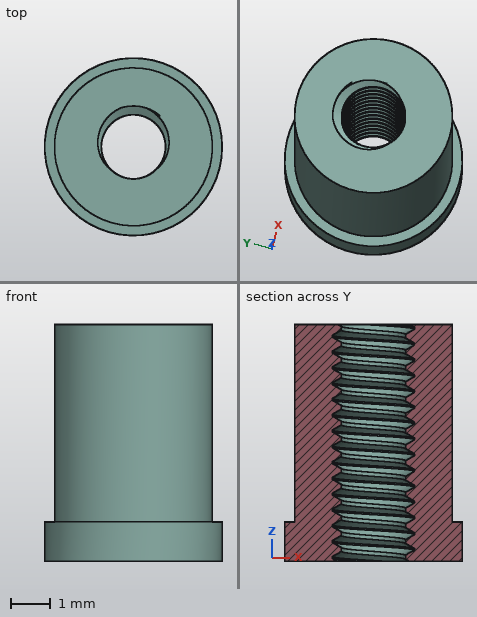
import cadquery as cq
import math

total_height = 6.0
body_diameter = 4.0
flange_diameter = 4.5
flange_height = 1.0

minor_diameter = 1.62
major_diameter = 2.07
pitch = 0.4
flank_half_angle = 30.0
crest_flat = pitch / 4
groove_angle_at_top = 90.0
bore_overlap = 0.1
overrun_turns = 2


def sleeve_blank():
    """Cylindrical body standing on a wider round flange."""
    flange = cq.Workplane("XY").circle(flange_diameter / 2).extrude(flange_height)
    body = cq.Workplane("XY").circle(body_diameter / 2).extrude(total_height)
    return flange.union(body)


def bore():
    """Through hole at the thread's minor diameter."""
    return cq.Workplane("XY").circle(minor_diameter / 2).extrude(total_height)


def thread_groove():
    """Helical groove with a trapezoidal section, running out through both ends."""
    minor_radius = minor_diameter / 2
    major_radius = major_diameter / 2
    inner_radius = minor_radius - bore_overlap
    half_mouth = (pitch - crest_flat) / 2
    half_root = half_mouth - (major_radius - minor_radius) * math.tan(math.radians(flank_half_angle))

    overrun = overrun_turns * pitch
    start_height = -overrun
    helix_height = total_height + 2 * overrun
    helix = cq.Wire.makeHelix(pitch, helix_height, minor_radius)

    section = cq.Workplane("XZ").polyline([
        (inner_radius, -half_mouth),
        (minor_radius, -half_mouth),
        (major_radius, -half_root),
        (major_radius, half_root),
        (minor_radius, half_mouth),
        (inner_radius, half_mouth),
    ]).close()
    groove = section.sweep(cq.Workplane(obj=helix), isFrenet=True)

    turn_at_top = 360 * (total_height - start_height) / pitch
    start_angle = (groove_angle_at_top - turn_at_top) % 360
    return groove.rotate((0, 0, 0), (0, 0, 1), start_angle).translate((0, 0, start_height))


result = sleeve_blank().cut(bore()).cut(thread_groove())